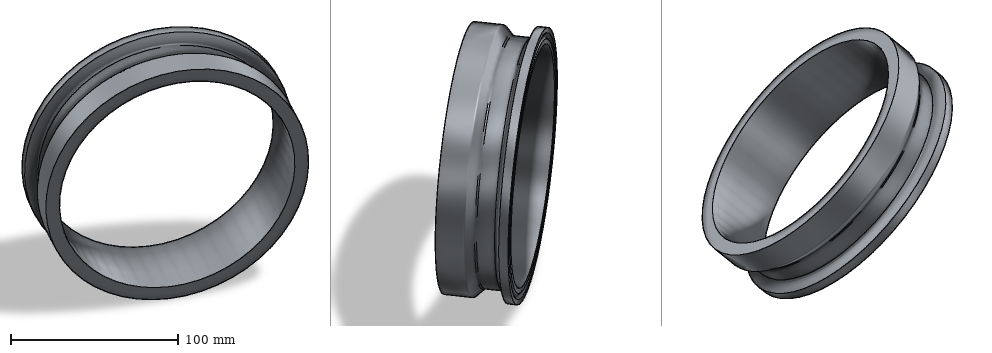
import cadquery as cq
import math

LENGTH = 44.45
BORE_RADIUS = 146.86 / 2
FLANGE_RADIUS = 166.88 / 2
NECK_RADIUS = 152.4 / 2
BODY_RADIUS = 164.13 / 2

FLANGE_RIM_WIDTH = 5.65
FLANGE_TAPER_ANGLE = 20.0
FLANGE_ROOT_FILLET = 1.6

SHOULDER_START = 21.0
SHOULDER_ANGLE = 45.0
SHOULDER_ROOT_FILLET = 1.6
SHOULDER_CREST_FILLET = 1.6

GROOVE_RADIUS = 78.45
GROOVE_MOUTH_WIDTH = 3.6
GROOVE_FLOOR_RADIUS = 1.35
GROOVE_WALL_ANGLE = 35.0

PROFILE_PLANE = "XZ"
FULL_TURN = 360
AXIS_START = (0, 0, 0)
AXIS_END = (1, 0, 0)


def ring(points):
    """Revolve a closed (X, radius) outline about the X axis."""
    return cq.Workplane(PROFILE_PLANE).polyline(points).close().revolve(FULL_TURN, AXIS_START, AXIS_END)


def circle_edge_at(x, radius):
    """Select the circular edge with the given axial position and radius."""
    margin = 0.01
    outer = radius + margin
    return cq.selectors.BoxSelector(
        (x - margin, -outer, -outer),
        (x + margin, outer, outer),
        boundingbox=True,
    )


def ferrule_body():
    """Bored ring with a clamp flange, a neck and a wider plain body."""
    taper_length = (FLANGE_RADIUS - NECK_RADIUS) * math.tan(math.radians(FLANGE_TAPER_ANGLE))
    taper_end = FLANGE_RIM_WIDTH + taper_length
    shoulder_length = (BODY_RADIUS - NECK_RADIUS) / math.tan(math.radians(SHOULDER_ANGLE))
    shoulder_end = SHOULDER_START + shoulder_length

    body = ring([
        (0, BORE_RADIUS),
        (0, FLANGE_RADIUS),
        (FLANGE_RIM_WIDTH, FLANGE_RADIUS),
        (taper_end, NECK_RADIUS),
        (SHOULDER_START, NECK_RADIUS),
        (shoulder_end, BODY_RADIUS),
        (LENGTH, BODY_RADIUS),
        (LENGTH, BORE_RADIUS),
    ])
    body = body.edges(circle_edge_at(taper_end, NECK_RADIUS)).fillet(FLANGE_ROOT_FILLET)
    body = body.edges(circle_edge_at(SHOULDER_START, NECK_RADIUS)).fillet(SHOULDER_ROOT_FILLET)
    return body.edges(circle_edge_at(shoulder_end, BODY_RADIUS)).fillet(SHOULDER_CREST_FILLET)


def cut_gasket_groove(body):
    """Cut the ring groove into the flange face."""
    lean = math.radians(GROOVE_WALL_ANGLE)
    half_mouth = GROOVE_MOUTH_WIDTH / 2
    half_floor = GROOVE_FLOOR_RADIUS * math.cos(lean)
    wall_depth = (half_mouth - half_floor) / math.tan(lean)
    groove_depth = wall_depth + GROOVE_FLOOR_RADIUS * (1 - math.sin(lean))

    groove = (
        cq.Workplane(PROFILE_PLANE)
        .moveTo(0, GROOVE_RADIUS - half_mouth)
        .lineTo(wall_depth, GROOVE_RADIUS - half_floor)
        .threePointArc(
            (groove_depth, GROOVE_RADIUS),
            (wall_depth, GROOVE_RADIUS + half_floor),
        )
        .lineTo(0, GROOVE_RADIUS + half_mouth)
        .close()
        .revolve(FULL_TURN, AXIS_START, AXIS_END)
    )
    return body.cut(groove)


result = cut_gasket_groove(ferrule_body())